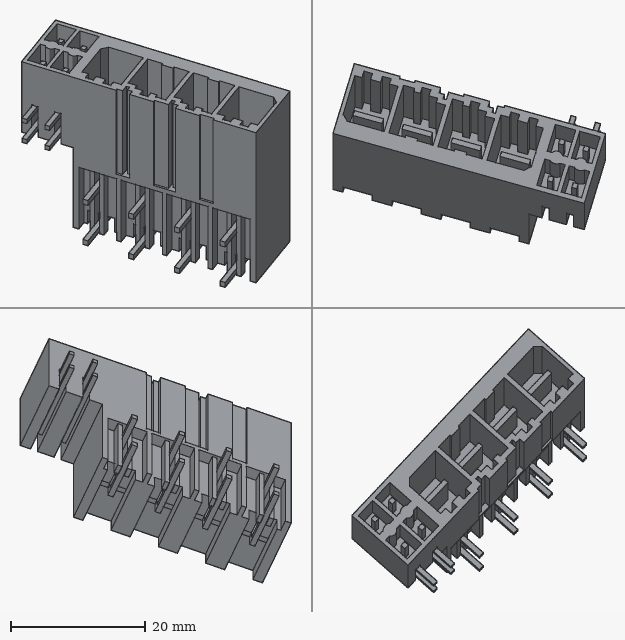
import cadquery as cq


LENGTH = 39.07
DEPTH = 11.35
HEIGHT = 28.3
STEP_X = 8.6
STEP_Z = 15.0

COLUMNS = 2
PIN_PITCH = 3.8
PIN_X = 2.23
FRONT_ROW_Y = 2.7
BACK_ROW_Y = 8.7
PIN_SIZE = 0.8
PIN_TOP = 26.95
FRONT_TAIL_Z = 20.3
BACK_TAIL_Z = FRONT_TAIL_Z - PIN_PITCH
TAIL_REACH = 3.5

POCKET_WIDTH = 3.15
POCKET_FLOOR = 21.5
FRONT_POCKET_PLAIN_Y = 0.75
BACK_POCKET_PLAIN_Y = 10.63
FRONT_POCKET_KEY_Y = 5.08
BACK_POCKET_KEY_Y = 6.35
KEY_HALF_WIDTH = 0.8
FRONT_KEY_HEIGHT = 0.43
BACK_KEY_HEIGHT = 0.27
PIN_SLOT_WIDTH = 1.1
PIN_SLOT_TOP = FRONT_TAIL_Z + PIN_SIZE / 2

CONTACTS = 4
CONTACT_PITCH = 7.6
CONTACT_X = 12.4
BLADE_WIDTH = 4.55
BLADE_THICKNESS = 0.8
BLADE_Y = 5.65
BLADE_TOP = 22.27
BLADE_BOTTOM = 2.55
TAIL_WIDTH = 0.85
TAIL_HEIGHT = 0.95
LOWER_TAIL_BOTTOM = 0.4
TAIL_BOTTOMS = (LOWER_TAIL_BOTTOM, LOWER_TAIL_BOTTOM + CONTACT_PITCH)

CAVITY_FLOOR = 12.5
CAVITY_BACK = 8.95
INNER_HALF = 3.45
OUTER_HALF = 3.2
CORNER = 0.9
SLOT_FRONT = 0.75
MIDDLE_FRONT = 1.7
END_INNER_FRONT = 1.6
END_OUTER_FRONT = 1.8
END_SLOT_NEAR = 0.8
END_SLOT_FAR = 2.1
MID_SLOT_HALF = 0.65
MID_LEFT_STEP = -2.0
MID_LEFT_FRONT = 2.42
MID_RIGHT_STEP = 1.7
MID_RIGHT_FRONT = 1.2
BACK_RIB_HALF = 0.95
BACK_RIB_HEIGHT = 0.3

SHALLOW_DEPTH = 0.35
SHALLOW_LONG = -5.63
SHALLOW_SHORT = -4.3
DEEP_LEFT = -3.32
DEEP_DEPTH = 1.55
MEDIUM_LEFT = -2.8
MEDIUM_DEPTH = 0.85
MEDIUM_RIGHT = -2.0

RECESS_TOP = 11.65
RECESS_DEPTH = 1.75
RECESS_OUTER_HALF = 2.85
GUIDE_WIDTH = 2.3
GUIDE_FRONT = 0.35

PIN_XS = [PIN_X + i * PIN_PITCH for i in range(COLUMNS)]
CONTACT_XS = [CONTACT_X + i * CONTACT_PITCH for i in range(CONTACTS)]
LAST = CONTACTS - 1
PIN_ROWS = ((FRONT_ROW_Y, FRONT_TAIL_Z), (BACK_ROW_Y, BACK_TAIL_Z))


def box(x0, x1, y0, y1, z0, z1):
    return cq.Workplane("XY").box(x1 - x0, y1 - y0, z1 - z0, centered=False).translate((x0, y0, z0))


def centred_box(x, width, y0, y1, z0, z1):
    return box(x - width / 2, x + width / 2, y0, y1, z0, z1)


def signal_pin(x, y, tail_z):
    """Square pin: vertical leg at (x, y), bent forward into a tail."""
    half = PIN_SIZE / 2
    leg = centred_box(x, PIN_SIZE, y - half, y + half, tail_z - half, PIN_TOP)
    tail = centred_box(x, PIN_SIZE, -TAIL_REACH, y + half, tail_z - half, tail_z + half)
    return leg.union(tail)


def power_contact(x):
    """Flat blade with a narrow leg below it and two tails running forward."""
    front = BLADE_Y - BLADE_THICKNESS / 2
    back = BLADE_Y + BLADE_THICKNESS / 2
    contact = centred_box(x, BLADE_WIDTH, front, back, BLADE_BOTTOM, BLADE_TOP)
    contact = contact.union(centred_box(x, TAIL_WIDTH, front, back, LOWER_TAIL_BOTTOM, BLADE_BOTTOM))
    for z in TAIL_BOTTOMS:
        contact = contact.union(centred_box(x, TAIL_WIDTH, -TAIL_REACH, back, z, z + TAIL_HEIGHT))
    return contact


def signal_pocket(x, plain_y, key_y, key_height):
    """Pocket with one plain wall and, opposite, a wall with a rounded key pointing inward."""
    left = x - POCKET_WIDTH / 2
    right = x + POCKET_WIDTH / 2
    inward = 1 if plain_y > key_y else -1
    return (
        cq.Workplane("XY", origin=(0, 0, POCKET_FLOOR))
        .moveTo(left, plain_y)
        .lineTo(right, plain_y)
        .lineTo(right, key_y)
        .lineTo(x + KEY_HALF_WIDTH, key_y)
        .threePointArc((x, key_y + inward * key_height), (x - KEY_HALF_WIDTH, key_y))
        .lineTo(left, key_y)
        .close()
        .extrude(HEIGHT - POCKET_FLOOR)
    )


def power_cavity(x, outline):
    points = [(x + offset, y) for offset, y in outline]
    return (
        cq.Workplane("XY", origin=(0, 0, CAVITY_FLOOR))
        .polyline(points)
        .close()
        .extrude(HEIGHT - CAVITY_FLOOR)
    )


def end_outline(inward):
    """Outline of an end cavity; inward is +1 or -1, toward its neighbour in X."""
    points = [
        (-OUTER_HALF, CAVITY_BACK - CORNER),
        (-OUTER_HALF + CORNER, CAVITY_BACK),
        (INNER_HALF, CAVITY_BACK),
        (INNER_HALF, END_INNER_FRONT),
        (END_SLOT_FAR, END_INNER_FRONT),
        (END_SLOT_FAR, SLOT_FRONT),
        (END_SLOT_NEAR, SLOT_FRONT),
        (END_SLOT_NEAR, MIDDLE_FRONT),
        (-END_SLOT_NEAR, MIDDLE_FRONT),
        (-END_SLOT_NEAR, SLOT_FRONT),
        (-END_SLOT_FAR, SLOT_FRONT),
        (-END_SLOT_FAR, END_OUTER_FRONT),
        (-OUTER_HALF, END_OUTER_FRONT),
    ]
    return [(inward * offset, y) for offset, y in points]


def middle_outline():
    rib_face = CAVITY_BACK - BACK_RIB_HEIGHT
    return [
        (-INNER_HALF, CAVITY_BACK),
        (-BACK_RIB_HALF, CAVITY_BACK),
        (-BACK_RIB_HALF, rib_face),
        (BACK_RIB_HALF, rib_face),
        (BACK_RIB_HALF, CAVITY_BACK),
        (INNER_HALF, CAVITY_BACK),
        (INNER_HALF, MID_RIGHT_FRONT),
        (MID_RIGHT_STEP, MID_RIGHT_FRONT),
        (MID_RIGHT_STEP, MIDDLE_FRONT),
        (MID_SLOT_HALF, MIDDLE_FRONT),
        (MID_SLOT_HALF, SLOT_FRONT),
        (-MID_SLOT_HALF, SLOT_FRONT),
        (-MID_SLOT_HALF, MIDDLE_FRONT),
        (MID_LEFT_STEP, MIDDLE_FRONT),
        (MID_LEFT_STEP, MID_LEFT_FRONT),
        (-INNER_HALF, MID_LEFT_FRONT),
    ]


def front_groove(x, left, right, depth):
    return box(x + left, x + right, 0, depth, CAVITY_FLOOR, HEIGHT)


def tail_recess(x, left_half, right_half):
    """Recess around a contact's tails, less the two guide ribs."""
    recess = box(x - left_half, x + right_half, 0, RECESS_DEPTH, 0, RECESS_TOP)
    guides = centred_box(x, GUIDE_WIDTH, GUIDE_FRONT, RECESS_DEPTH, 0, RECESS_TOP)
    return recess.cut(guides)


def make_housing():
    body = box(0, LENGTH, 0, DEPTH, 0, HEIGHT).cut(box(0, STEP_X, 0, DEPTH, 0, STEP_Z))

    for x in PIN_XS:
        body = body.cut(signal_pocket(x, FRONT_POCKET_PLAIN_Y, FRONT_POCKET_KEY_Y, FRONT_KEY_HEIGHT))
        body = body.cut(signal_pocket(x, BACK_POCKET_PLAIN_Y, BACK_POCKET_KEY_Y, BACK_KEY_HEIGHT))
        body = body.cut(centred_box(x, PIN_SLOT_WIDTH, 0, DEPTH, STEP_Z, PIN_SLOT_TOP))

    for i, x in enumerate(CONTACT_XS):
        if i == 0:
            outline = end_outline(1)
        elif i == LAST:
            outline = end_outline(-1)
        else:
            outline = middle_outline()
        body = body.cut(power_cavity(x, outline))

        left_half = RECESS_OUTER_HALF if i == 0 else INNER_HALF
        right_half = RECESS_OUTER_HALF if i == LAST else INNER_HALF
        body = body.cut(tail_recess(x, left_half, right_half))
        body = body.cut(centred_box(x, TAIL_WIDTH, 0, BLADE_Y, 0, RECESS_TOP))
        body = body.cut(centred_box(x, BLADE_WIDTH, RECESS_DEPTH, DEPTH, 0, BLADE_BOTTOM))

    for i, x in enumerate(CONTACT_XS[1:], start=1):
        shallow_left = SHALLOW_SHORT if i == 1 else SHALLOW_LONG
        body = body.cut(front_groove(x, shallow_left, DEEP_LEFT, SHALLOW_DEPTH))
        if i != LAST:
            body = body.cut(front_groove(x, DEEP_LEFT, MEDIUM_LEFT, DEEP_DEPTH))
            body = body.cut(front_groove(x, MEDIUM_LEFT, MEDIUM_RIGHT, MEDIUM_DEPTH))
    return body


signal_pins = [signal_pin(x, y, tail_z) for x in PIN_XS for y, tail_z in PIN_ROWS]
power_contacts = [power_contact(x) for x in CONTACT_XS]

housing = make_housing()
for insert in signal_pins + power_contacts:
    housing = housing.cut(insert)

result = cq.Compound.makeCompound([
    housing.val(),
    *[pin.val() for pin in signal_pins],
    *[contact.val() for contact in power_contacts],
])